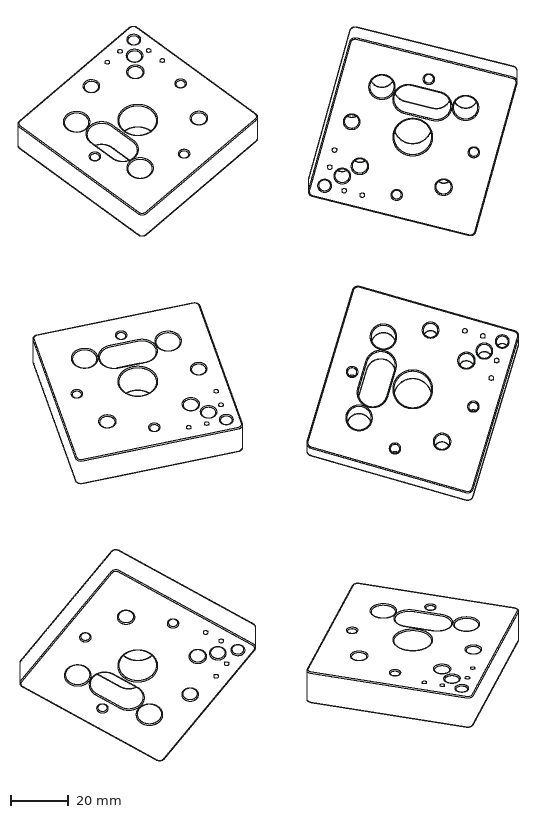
import cadquery as cq

side = 60.0
thickness = 12.7
corner_radius = 2.0
edge_chamfer = 0.4

bore_diameter = 13.0
lower_pair_diameter = 8.4
upper_pair_diameter = 5.3
cross_diameter = 3.2
guide_diameter = 5.0
corner_diameter = 4.0
pin_diameter = 1.6
rim_chamfer = edge_chamfer

square_offset = 15.0
cross_offset = 21.9
corner_offset = 25.0
diagonal_offset = (square_offset + corner_offset) / 2
pin_offsets = (18.0, 11.5)

slot_length = 20.05
slot_width = 10.0
slot_y = -13.0

faces = ((thickness / 2, -1), (-thickness / 2, 1))


def make_plate():
    """Plate centred on the origin, with rounded corners and chamfered outer edges."""
    plate = cq.Workplane("XY").box(side, side, thickness)
    plate = plate.edges("|Z").fillet(corner_radius)
    return plate.faces("<Z or >Z").edges().chamfer(edge_chamfer)


def cut_hole(plate, x, y, diameter, chamfer=rim_chamfer):
    """Round through hole with both rims chamfered, or left sharp if chamfer is zero."""
    hole = cq.Workplane("XY").center(x, y).circle(diameter / 2).extrude(thickness, both=True)
    plate = plate.cut(hole)
    if chamfer:
        for face_z, inward in faces:
            rim = cq.Solid.makeCone(
                diameter / 2 + chamfer,
                diameter / 2,
                chamfer,
                pnt=cq.Vector(x, y, face_z),
                dir=cq.Vector(0, 0, inward),
            )
            plate = plate.cut(cq.Workplane(rim))
    return plate


def cut_slot(plate):
    """Round-ended through slot along X with both rims chamfered."""
    slot = cq.Workplane("XY").center(0, slot_y).slot2D(slot_length, slot_width)
    plate = plate.cut(slot.extrude(thickness, both=True))
    for face_z, inward in faces:
        rim = (
            cq.Workplane("XY", origin=(0, slot_y, face_z))
            .slot2D(slot_length + 2 * rim_chamfer, slot_width + 2 * rim_chamfer)
            .workplane(offset=inward * rim_chamfer)
            .slot2D(slot_length, slot_width)
            .loft(ruled=True)
        )
        plate = plate.cut(rim)
    return plate


plate = make_plate()
plate = cut_slot(plate)
plate = cut_hole(plate, 0, 0, bore_diameter)

for x in (-square_offset, square_offset):
    plate = cut_hole(plate, x, square_offset, upper_pair_diameter)
    plate = cut_hole(plate, x, -square_offset, lower_pair_diameter)

plate = cut_hole(plate, -cross_offset, 0, guide_diameter)
for x, y in ((cross_offset, 0), (0, cross_offset), (0, -cross_offset)):
    plate = cut_hole(plate, x, y, cross_diameter)

plate = cut_hole(plate, -diagonal_offset, diagonal_offset, guide_diameter)
plate = cut_hole(plate, -corner_offset, corner_offset, corner_diameter)

for offset in pin_offsets:
    plate = cut_hole(plate, -offset, corner_offset, pin_diameter, chamfer=0)
    plate = cut_hole(plate, -corner_offset, offset, pin_diameter, chamfer=0)

result = plate